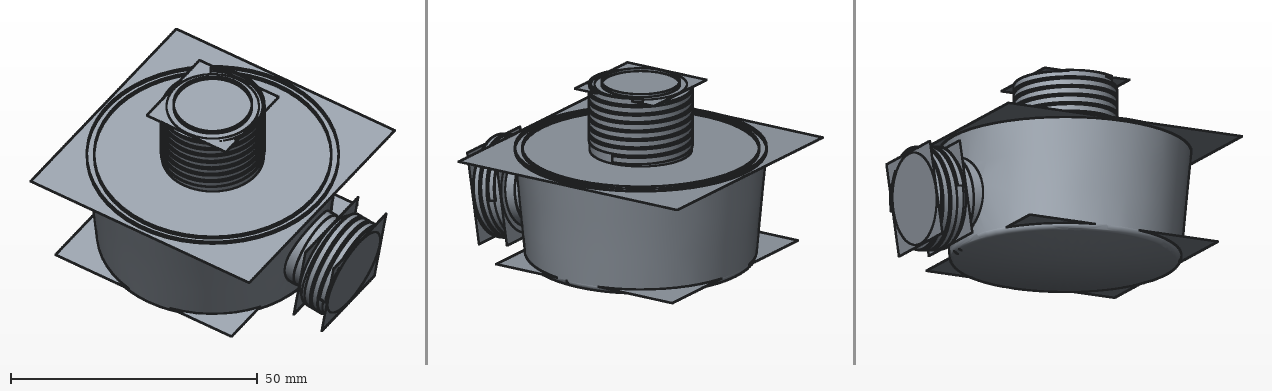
import cadquery as cq
import math

OVERALL_HEIGHT = 39.69

RIM_RADIUS = 25.6
LID_RADIUS = 24.0
RIM_HEIGHT = 0.5
DRUM_FOOT_RADIUS = 23.55
DRUM_FOOT_Z = -21.8
DOME_EDGE_RADIUS = 22.4
DOME_EDGE_Z = -23.05
DOME_BOTTOM_Z = -25.0

SHEET = 0.06
TOP_SHEET_SIDE = 53.25
FOOT_SHEET_DEPTH = 46.0
FOOT_SHEET_MIN_X = -23.0
FOOT_SHEET_MAX_X = 19.9
NOZZLE_SHEET_SIDE = 19.3
RING_WALL = 0.1

THREAD_CORE_RADIUS = 10.4
THREAD_CREST_RADIUS = 10.56
THREAD_PITCH = 1.814
RIDGE_ROOT_WIDTH = 1.5
RIDGE_CREST_WIDTH = 1.36
RIDGE_EMBED = 0.3
NOZZLE_END_RADIUS = 9.27
NOZZLE_CHAMFER_LENGTH = 0.6

LID_THICKNESS = 1.5
STEM_LENGTH = 14.05
STEM_THREAD_START = 1.05
STEM_THREAD_START_ANGLE = 90.0
STEM_THREAD_TURNS = 7.1
STEM_RING_RADIUS = 8.0
STEM_TOP_Z = OVERALL_HEIGHT + DOME_BOTTOM_Z

OUTLET_DIP = 8.5
OUTLET_END_X = 34.44
OUTLET_END_Z = -14.44
OUTLET_HEAD_LENGTH = 6.95
OUTLET_SHOULDER_CHAMFER = 1.2
OUTLET_THREAD_START = 1.68
OUTLET_THREAD_START_ANGLE = 90.0
OUTLET_THREAD_TURNS = 2.5
NECK_RADIUS = 8.0
NECK_LENGTH = 2.4
NECK_ROOT_RADIUS = 8.15
NECK_ROOT_LENGTH = 8.0


def square_sheet(side, base_z):
    """Thin horizontal square sheet centred on the Z axis."""
    return cq.Workplane("XY").workplane(offset=base_z).rect(side, side).extrude(SHEET)


def foot_sheet():
    """Thin rectangular sheet at the foot of the drum, shorter on the outlet side."""
    length = FOOT_SHEET_MAX_X - FOOT_SHEET_MIN_X
    middle_x = (FOOT_SHEET_MAX_X + FOOT_SHEET_MIN_X) / 2
    foot = cq.Workplane("XY").workplane(offset=DRUM_FOOT_Z - SHEET / 2)
    return foot.center(middle_x, 0).rect(length, FOOT_SHEET_DEPTH).extrude(SHEET)


def standing_ring(outer_radius, base_z, top_z):
    """Thin-walled ring around the Z axis."""
    ring = cq.Workplane("XY").workplane(offset=base_z)
    return ring.circle(outer_radius).circle(outer_radius - RING_WALL).extrude(top_z - base_z)


def thread_ridge(start_z, start_angle, turns):
    """Right-hand helical ridge around the Z axis, its root buried in the thread core."""
    root_radius = THREAD_CORE_RADIUS - RIDGE_EMBED
    helix = cq.Wire.makeHelix(THREAD_PITCH, THREAD_PITCH * turns, root_radius)
    profile = cq.Workplane("XZ").polyline([
        (root_radius, -RIDGE_ROOT_WIDTH / 2),
        (THREAD_CREST_RADIUS, -RIDGE_CREST_WIDTH / 2),
        (THREAD_CREST_RADIUS, RIDGE_CREST_WIDTH / 2),
        (root_radius, RIDGE_ROOT_WIDTH / 2),
    ]).close()
    ridge = profile.sweep(cq.Workplane(helix), isFrenet=True)
    return ridge.rotate((0, 0, 0), (0, 0, 1), start_angle).translate((0, 0, start_z))


def make_drum():
    """Solid of revolution for the tapered drum with its domed floor."""
    corner_radius = DRUM_FOOT_RADIUS - DOME_EDGE_RADIUS
    corner_bulge = 1 - math.sqrt(0.5)
    corner_middle = (
        DRUM_FOOT_RADIUS - corner_radius * corner_bulge,
        DOME_EDGE_Z + (DRUM_FOOT_Z - DOME_EDGE_Z) * corner_bulge,
    )
    dome_rise = DOME_EDGE_Z - DOME_BOTTOM_Z
    sphere_radius = (DOME_EDGE_RADIUS ** 2 + dome_rise ** 2) / (2 * dome_rise)
    dome_middle_radius = DOME_EDGE_RADIUS / 2
    dome_middle_z = DOME_BOTTOM_Z + sphere_radius - math.sqrt(sphere_radius ** 2 - dome_middle_radius ** 2)
    taper = (RIM_RADIUS - DRUM_FOOT_RADIUS) / (RIM_HEIGHT - DRUM_FOOT_Z)
    return (
        cq.Workplane("XZ")
        .moveTo(0, 0)
        .lineTo(RIM_RADIUS - taper * RIM_HEIGHT, 0)
        .lineTo(DRUM_FOOT_RADIUS, DRUM_FOOT_Z)
        .threePointArc(corner_middle, (DOME_EDGE_RADIUS, DOME_EDGE_Z))
        .threePointArc((dome_middle_radius, dome_middle_z), (0, DOME_BOTTOM_Z))
        .close()
        .revolve(360, (0, 0, 0), (0, 1, 0))
    )


def make_outlet():
    """Outlet built upright with its shoulder at z = 0, then laid onto its dipping axis."""
    core = (
        cq.Workplane("XZ")
        .polyline([
            (0, -NECK_LENGTH - NECK_ROOT_LENGTH),
            (NECK_ROOT_RADIUS, -NECK_LENGTH - NECK_ROOT_LENGTH),
            (NECK_ROOT_RADIUS, -NECK_LENGTH),
            (NECK_RADIUS, -NECK_LENGTH),
            (NECK_RADIUS, 0),
            (NOZZLE_END_RADIUS, 0),
            (THREAD_CORE_RADIUS, OUTLET_SHOULDER_CHAMFER),
            (THREAD_CORE_RADIUS, OUTLET_HEAD_LENGTH - NOZZLE_CHAMFER_LENGTH),
            (NOZZLE_END_RADIUS, OUTLET_HEAD_LENGTH),
            (0, OUTLET_HEAD_LENGTH),
        ])
        .close()
        .revolve(360, (0, 0, 0), (0, 1, 0))
    )
    outlet = (
        core
        .union(thread_ridge(OUTLET_THREAD_START, OUTLET_THREAD_START_ANGLE, OUTLET_THREAD_TURNS))
        .union(square_sheet(NOZZLE_SHEET_SIDE, 0))
        .union(square_sheet(NOZZLE_SHEET_SIDE, OUTLET_HEAD_LENGTH - SHEET))
    )
    return (
        outlet
        .translate((0, 0, -OUTLET_HEAD_LENGTH))
        .rotate((0, 0, 0), (0, 1, 0), 90 + OUTLET_DIP)
        .translate((OUTLET_END_X, 0, OUTLET_END_Z))
    )


def make_housing():
    """Cup with its rim rings, thin sheets and outlet, recessed for the lid."""
    lid_seat = cq.Workplane("XY").circle(LID_RADIUS).extrude(-LID_THICKNESS)
    return (
        make_drum()
        .union(square_sheet(TOP_SHEET_SIDE, -SHEET))
        .union(foot_sheet())
        .union(make_outlet())
        .cut(lid_seat)
        .union(standing_ring(RIM_RADIUS, -SHEET, RIM_HEIGHT))
        .union(standing_ring(LID_RADIUS + RING_WALL, -SHEET, RIM_HEIGHT))
    )


def make_lid():
    """Lid disc with the threaded inlet stem, its end sheet and its end ring."""
    core = (
        cq.Workplane("XZ")
        .polyline([
            (0, -LID_THICKNESS),
            (LID_RADIUS, -LID_THICKNESS),
            (LID_RADIUS, 0),
            (THREAD_CORE_RADIUS, 0),
            (THREAD_CORE_RADIUS, STEM_LENGTH - NOZZLE_CHAMFER_LENGTH),
            (NOZZLE_END_RADIUS, STEM_LENGTH),
            (0, STEM_LENGTH),
        ])
        .close()
        .revolve(360, (0, 0, 0), (0, 1, 0))
    )
    return (
        core
        .union(thread_ridge(STEM_THREAD_START, STEM_THREAD_START_ANGLE, STEM_THREAD_TURNS))
        .union(square_sheet(NOZZLE_SHEET_SIDE, STEM_LENGTH - SHEET))
        .union(standing_ring(STEM_RING_RADIUS, STEM_LENGTH - SHEET, STEM_TOP_Z))
    )


housing = make_housing()
lid = make_lid()

result = cq.Compound.makeCompound([housing.val(), lid.val()])